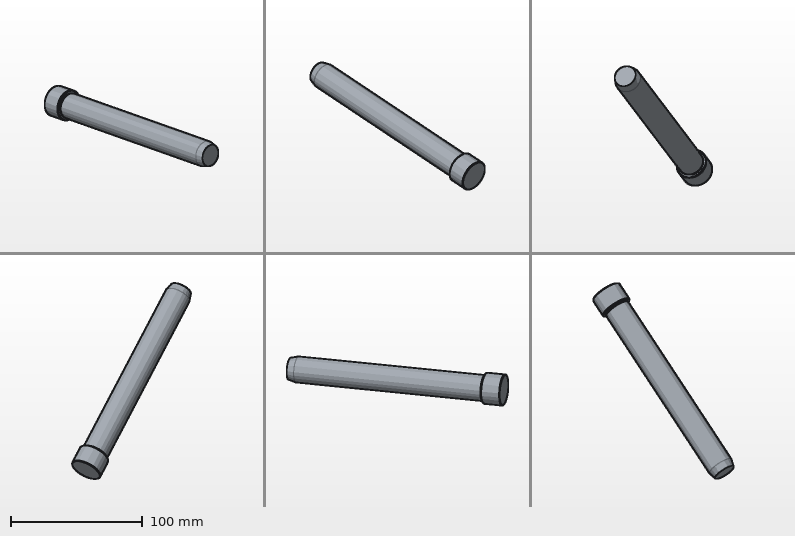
import cadquery as cq
import math

total_length = 170.0
head_diameter = 24.0
head_length = 15.0
head_chamfer = 0.5
shank_diameter = 20.0
groove_width = 1.0
groove_depth = 0.3
lead_length = 6.0
lead_angle = 15.0

head_radius = head_diameter / 2
shank_radius = shank_diameter / 2
groove_radius = shank_radius - groove_depth
groove_end = head_length + groove_width
lead_start = total_length - lead_length
tip_radius = shank_radius - lead_length * math.tan(math.radians(lead_angle))

half_section = [
    (0, 0),
    (0, head_radius - head_chamfer),
    (head_chamfer, head_radius),
    (head_length - head_chamfer, head_radius),
    (head_length, head_radius - head_chamfer),
    (head_length, groove_radius),
    (groove_end, groove_radius),
    (groove_end, shank_radius),
    (lead_start, shank_radius),
    (total_length, tip_radius),
    (total_length, 0),
]

result = cq.Workplane("XY").polyline(half_section).close().revolve(360, (0, 0, 0), (1, 0, 0))